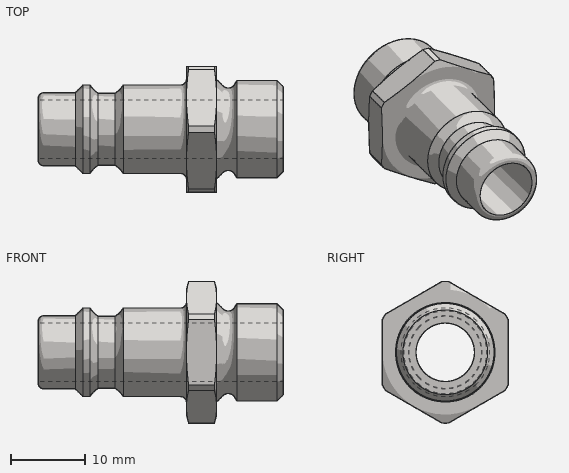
import cadquery as cq
import math

TOTAL_LENGTH = 33.1
BORE_DIAMETER = 7.85

NOSE_RADIUS = 9.9 / 2
NOSE_END_ROUND = 0.8

BODY_RADIUS = 12.0 / 2
COLLAR_RAMP_START = 5.03
COLLAR_START = COLLAR_RAMP_START + (BODY_RADIUS - NOSE_RADIUS)
COLLAR_END = 7.0
GROOVE_RADIUS = 9.75 / 2
GROOVE_FLANK_LENGTH = 1.1
GROOVE_FLANK_BULGE = 0.09
BODY_START = 11.5

HEX_START = 20.0
HEX_END = 24.1
HEX_ACROSS_FLATS = 17.0
HEX_ACROSS_CORNERS = 19.15
HEX_BEVEL_RADIUS = 8.43
HEX_BEVEL_ANGLE = 15.0
HEX_ROOT_ROUND = 0.75

THREAD_RADIUS = 13.16 / 2
THREAD_CHAMFER = 0.87
UNDERCUT_CENTER_X = 25.65
UNDERCUT_FLOOR_RADIUS = 5.58
UNDERCUT_ROUND = 1.0
UNDERCUT_HEX_SIDE_ANGLE = 45.0
UNDERCUT_THREAD_SIDE_ANGLE = 55.0
THREAD_LEAD_IN_ANGLE = 60.0


def undercut_point(angle):
    """Point on the undercut round; the angle is measured from the floor, positive towards the thread."""
    a = math.radians(angle)
    x = UNDERCUT_CENTER_X + UNDERCUT_ROUND * math.sin(a)
    r = UNDERCUT_FLOOR_RADIUS + UNDERCUT_ROUND * (1 - math.cos(a))
    return (x, r)


def flank_midpoint(start, end):
    """Middle of a groove flank, sunk below its chord so the flank is concave."""
    dx = end[0] - start[0]
    dr = end[1] - start[1]
    chord = math.hypot(dx, dr)
    x = (start[0] + end[0]) / 2 + GROOVE_FLANK_BULGE * dr / chord
    r = (start[1] + end[1]) / 2 - GROOVE_FLANK_BULGE * dx / chord
    return (x, r)


def make_turned_body():
    """Revolve the outer profile, without the hexagon, as a solid about X."""
    groove_left_top = (COLLAR_END, BODY_RADIUS)
    groove_left_floor = (COLLAR_END + GROOVE_FLANK_LENGTH, GROOVE_RADIUS)
    groove_right_floor = (BODY_START - GROOVE_FLANK_LENGTH, GROOVE_RADIUS)
    groove_right_top = (BODY_START, BODY_RADIUS)

    round_start = undercut_point(-UNDERCUT_HEX_SIDE_ANGLE)
    round_end = undercut_point(UNDERCUT_THREAD_SIDE_ANGLE)
    hex_side_slope = math.tan(math.radians(UNDERCUT_HEX_SIDE_ANGLE))
    lead_in_slope = math.tan(math.radians(THREAD_LEAD_IN_ANGLE))
    hex_side_radius = round_start[1] + (round_start[0] - HEX_END) * hex_side_slope
    thread_start = round_end[0] + (THREAD_RADIUS - round_end[1]) / lead_in_slope

    diagonal = math.sqrt(0.5)
    nose_round_mid = (
        NOSE_END_ROUND * (1 - diagonal),
        NOSE_RADIUS - NOSE_END_ROUND * (1 - diagonal),
    )
    root_round_mid = (
        HEX_START - HEX_ROOT_ROUND * (1 - diagonal),
        BODY_RADIUS + HEX_ROOT_ROUND * (1 - diagonal),
    )

    profile = (
        cq.Workplane("XY")
        .moveTo(0, 0)
        .lineTo(0, NOSE_RADIUS - NOSE_END_ROUND)
        .threePointArc(nose_round_mid, (NOSE_END_ROUND, NOSE_RADIUS))
        .lineTo(COLLAR_RAMP_START, NOSE_RADIUS)
        .lineTo(COLLAR_START, BODY_RADIUS)
        .lineTo(*groove_left_top)
        .threePointArc(flank_midpoint(groove_left_top, groove_left_floor), groove_left_floor)
        .lineTo(*groove_right_floor)
        .threePointArc(flank_midpoint(groove_right_floor, groove_right_top), groove_right_top)
        .lineTo(HEX_START - HEX_ROOT_ROUND, BODY_RADIUS)
        .threePointArc(root_round_mid, (HEX_START, BODY_RADIUS + HEX_ROOT_ROUND))
        .lineTo(HEX_END, hex_side_radius)
        .lineTo(*round_start)
        .threePointArc(undercut_point(0), round_end)
        .lineTo(thread_start, THREAD_RADIUS)
        .lineTo(TOTAL_LENGTH - THREAD_CHAMFER, THREAD_RADIUS)
        .lineTo(TOTAL_LENGTH, THREAD_RADIUS - THREAD_CHAMFER)
        .lineTo(TOTAL_LENGTH, 0)
        .close()
    )
    return profile.revolve(360, (0, 0, 0), (1, 0, 0))


def make_hexagon():
    """Hexagon with flats facing +Y and -Y, corners turned down and both ends bevelled."""
    sharp_corner_diameter = HEX_ACROSS_FLATS / math.cos(math.pi / 6)
    prism = (
        cq.Workplane("YZ")
        .workplane(offset=HEX_START)
        .transformed(rotate=(0, 0, 90))
        .polygon(6, sharp_corner_diameter)
        .extrude(HEX_END - HEX_START)
    )
    corner_radius = HEX_ACROSS_CORNERS / 2
    bevel_length = (corner_radius - HEX_BEVEL_RADIUS) * math.tan(math.radians(HEX_BEVEL_ANGLE))
    turned_blank = (
        cq.Workplane("XY")
        .moveTo(HEX_START, 0)
        .lineTo(HEX_START, HEX_BEVEL_RADIUS)
        .lineTo(HEX_START + bevel_length, corner_radius)
        .lineTo(HEX_END - bevel_length, corner_radius)
        .lineTo(HEX_END, HEX_BEVEL_RADIUS)
        .lineTo(HEX_END, 0)
        .close()
        .revolve(360, (0, 0, 0), (1, 0, 0))
    )
    return prism.intersect(turned_blank)


def make_bore():
    """Straight bore through the whole length."""
    return cq.Workplane("YZ").circle(BORE_DIAMETER / 2).extrude(TOTAL_LENGTH)


result = make_turned_body().union(make_hexagon()).cut(make_bore())